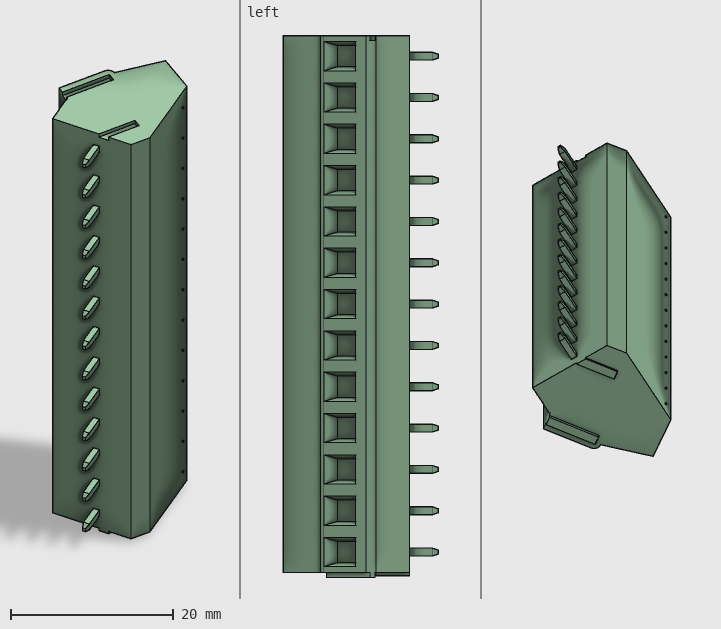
import cadquery as cq
import math


pole_count = 13
body_length = 66.05
pitch = body_length / pole_count
left_wall_x = 1.7
right_wall_x = 14.0
lower_chamfer_x = 1.5
lower_chamfer_y = 2.1
shoulder_y = 12.5
peak_x = 9.6
peak_y = 15.5

lip_angle = 55.0
lip_corner_y = 5.3
lip_length = 7.3
lip_depth = 2.65
lip_fillet = 0.9

pocket_start = 1.6
pocket_length = 4.7
pocket_depth = 2.85
pocket_mouth_width = 3.6
pocket_floor_width = 2.6

rib_width = 1.05
lip_rib_offset = 0.85
lip_rib_length = 6.6
lip_rib_height = 0.6
foot_rib_x = 8.05
foot_rib_length = 5.05
foot_rib_height = 0.4
foot_groove_depth = 0.5

pin_x = 7.7
pin_width = 0.8
pin_height = 1.0
pin_length = 3.5
pin_taper_length = 0.7
pin_tip_ratio = 0.5
pin_root = 0.65

pip_y = 11.25
pip_diameter = 0.25
pip_height = 0.1

pole_heights = [(i + 0.5) * pitch for i in range(pole_count)]

along_x = math.cos(math.radians(lip_angle))
along_y = math.sin(math.radians(lip_angle))


def slanted_plane(x, y, z=0):
    """XY plane turned so that its x axis runs along the lip face."""
    return cq.Workplane(cq.Plane(origin=(x, y, z), xDir=(along_x, along_y, 0), normal=(0, 0, 1)))


def make_housing():
    roof_drop = peak_x - left_wall_x
    outline = [
        (left_wall_x, 0),
        (right_wall_x - lower_chamfer_x, 0),
        (right_wall_x, lower_chamfer_y),
        (right_wall_x, shoulder_y),
        (peak_x, peak_y),
        (left_wall_x, peak_y - roof_drop),
    ]
    body = cq.Workplane("XY").polyline(outline).close().extrude(body_length)
    lip = (
        slanted_plane(0, lip_corner_y)
        .rect(lip_length, -lip_depth, centered=False)
        .extrude(body_length)
    )
    upper_corner = cq.selectors.NearestToPointSelector(
        (lip_length * along_x, lip_corner_y + lip_length * along_y, body_length / 2)
    )
    return body.union(lip.edges("|Z").edges(upper_corner).fillet(lip_fillet))


def make_pocket(z):
    """Wedge-walled pocket: a trapezoid across Z, swept along the lip."""
    plane = cq.Plane(
        origin=(pocket_start * along_x, lip_corner_y + pocket_start * along_y, z),
        xDir=(0, 0, 1),
        normal=(along_x, along_y, 0),
    )
    trapezoid = [
        (-pocket_mouth_width / 2, 0),
        (pocket_mouth_width / 2, 0),
        (pocket_floor_width / 2, pocket_depth),
        (-pocket_floor_width / 2, pocket_depth),
    ]
    return cq.Workplane(plane).polyline(trapezoid).close().extrude(pocket_length)


def make_lip_rib(z, height):
    return (
        slanted_plane(0, lip_corner_y, z)
        .center(0, -lip_rib_offset)
        .rect(lip_rib_length, -rib_width, centered=False)
        .extrude(height)
    )


def make_foot_rib(z, height):
    """Rib with a square inner end, cut flush with the pin face."""
    far_x = foot_rib_x + foot_rib_length * along_x
    far_y = foot_rib_length * along_y
    outline = [
        (foot_rib_x, 0),
        (far_x, far_y),
        (far_x + rib_width * along_y, far_y - rib_width * along_x),
        (foot_rib_x + rib_width / along_y, 0),
    ]
    return cq.Workplane("XY", origin=(0, 0, z)).polyline(outline).close().extrude(height)


def make_pin(z):
    shank_length = pin_length - pin_taper_length
    shank = (
        cq.Workplane("XZ", origin=(pin_x, pin_root, z))
        .rect(pin_width, pin_height)
        .extrude(pin_root + shank_length)
    )
    tip = (
        cq.Workplane("XZ", origin=(pin_x, -shank_length, z))
        .rect(pin_width, pin_height)
        .workplane(offset=pin_taper_length)
        .rect(pin_width * pin_tip_ratio, pin_height * pin_tip_ratio)
        .loft(combine=True)
    )
    return shank.union(tip)


def make_pip(z):
    return (
        cq.Workplane("YZ", origin=(right_wall_x, pip_y, z))
        .circle(pip_diameter / 2)
        .extrude(pip_height)
    )


result = make_housing()

result = result.cut(make_lip_rib(body_length - lip_rib_height, lip_rib_height))
result = result.cut(make_foot_rib(body_length - foot_groove_depth, foot_groove_depth))
result = result.union(make_lip_rib(-lip_rib_height, lip_rib_height))
result = result.union(make_foot_rib(-foot_rib_height, foot_rib_height))

for pole_z in pole_heights:
    result = result.cut(make_pocket(pole_z))
    result = result.union(make_pin(pole_z))
    result = result.union(make_pip(pole_z))